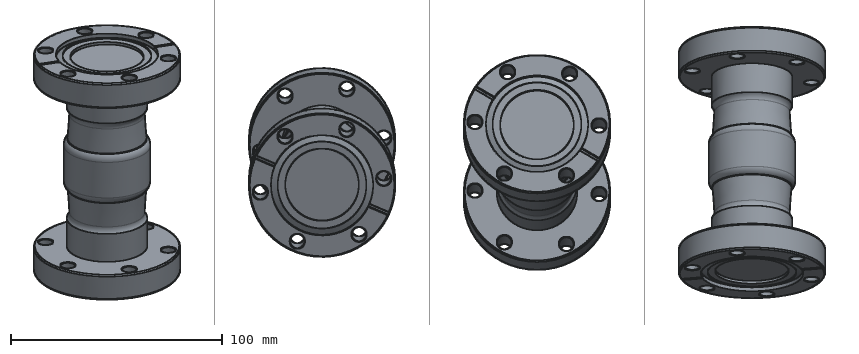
import cadquery as cq
import math

length = 111.8
flange_diameter = 69.3
flange_thickness = 13.0
flange_chamfer_width = 0.6
flange_chamfer_height = 0.8

weld_tube_diameter = 38.1
weld_tube_end = 27.4
neck_diameter = 35.8
neck_start = 30.6
flare_diameter = 37.5
flare_end = 43.0
flare_bulge = 0.07
shoulder_diameter = 37.8
shoulder_start = 43.4
sleeve_diameter = 41.0
sleeve_start = 46.7

recess_diameter = 48.3
recess_depth = 2.0
knife_diameter = 41.9
knife_depth = 0.7
seat_depth = 1.3
bore_diameter = 34.8
bore_depth = 2.7

bolt_count = 6
bolt_circle_diameter = 58.7
bolt_hole_diameter = 6.7
bolt_hole_chamfer = 0.3
groove_width = 1.7
groove_floor_width = 1.1
groove_depth = 0.7


def end_body():
    """Solid of revolution from the top flange face down to the straight middle sleeve."""
    flange_radius = flange_diameter / 2
    tube_radius = weld_tube_diameter / 2
    neck_radius = neck_diameter / 2
    flare_radius = flare_diameter / 2
    shoulder_start_radius = shoulder_diameter / 2
    sleeve_radius = sleeve_diameter / 2
    top = length / 2
    flange_back = top - flange_thickness
    neck_z = top - neck_start
    flare_z = top - flare_end
    shoulder_z = top - shoulder_start
    sleeve_z = top - sleeve_start
    shoulder_height = shoulder_z - sleeve_z
    shoulder_step = sleeve_radius - shoulder_start_radius
    shoulder_radius = (shoulder_height**2 + shoulder_step**2) / (2 * shoulder_step)
    half_sweep = math.asin(shoulder_height / shoulder_radius) / 2
    shoulder_middle = (
        sleeve_radius - shoulder_radius * (1 - math.cos(half_sweep)),
        sleeve_z + shoulder_radius * math.sin(half_sweep),
    )
    flare_middle = ((neck_radius + flare_radius) / 2 - flare_bulge, (neck_z + flare_z) / 2)

    profile = (
        cq.Workplane("XZ")
        .moveTo(0, sleeve_z)
        .lineTo(sleeve_radius, sleeve_z)
        .threePointArc(shoulder_middle, (shoulder_start_radius, shoulder_z))
        .lineTo(flare_radius, flare_z)
        .threePointArc(flare_middle, (neck_radius, neck_z))
        .tangentArcPoint((tube_radius, top - weld_tube_end), relative=False)
        .lineTo(tube_radius, flange_back)
        .lineTo(flange_radius - flange_chamfer_width, flange_back)
        .lineTo(flange_radius, flange_back + flange_chamfer_height)
        .lineTo(flange_radius, top - flange_chamfer_height)
        .lineTo(flange_radius - flange_chamfer_width, top)
        .lineTo(0, top)
        .close()
    )
    return profile.revolve(360, (0, 0, 0), (0, 1, 0))


def sealing_face_cut():
    """Gasket recess, conical knife edge, flat seat and shallow bore of the top flange."""
    top = length / 2
    profile = (
        cq.Workplane("XZ")
        .moveTo(0, top)
        .lineTo(recess_diameter / 2, top)
        .lineTo(recess_diameter / 2, top - recess_depth)
        .lineTo(knife_diameter / 2, top - knife_depth)
        .lineTo(knife_diameter / 2, top - seat_depth)
        .lineTo(bore_diameter / 2, top - seat_depth)
        .lineTo(bore_diameter / 2, top - bore_depth)
        .lineTo(0, top - bore_depth)
        .close()
    )
    return profile.revolve(360, (0, 0, 0), (0, 1, 0))


def bolt_hole_cut(angle):
    """One bolt hole through the top flange, chamfered at both faces."""
    top = length / 2
    flange_back = top - flange_thickness
    hole_radius = bolt_hole_diameter / 2
    mouth_radius = hole_radius + bolt_hole_chamfer
    profile = (
        cq.Workplane("XZ")
        .moveTo(0, flange_back)
        .lineTo(mouth_radius, flange_back)
        .lineTo(hole_radius, flange_back + bolt_hole_chamfer)
        .lineTo(hole_radius, top - bolt_hole_chamfer)
        .lineTo(mouth_radius, top)
        .lineTo(0, top)
        .close()
    )
    hole = profile.revolve(360, (0, 0, 0), (0, 1, 0))
    center_radius = bolt_circle_diameter / 2
    x = center_radius * math.cos(math.radians(angle))
    y = center_radius * math.sin(math.radians(angle))
    return hole.translate((x, y, 0))


def groove_cut():
    """Tapered leak-check groove across the full diameter of the top face along Y."""
    top = length / 2
    return (
        cq.Workplane("XZ")
        .moveTo(-groove_width / 2, top)
        .lineTo(groove_width / 2, top)
        .lineTo(groove_floor_width / 2, top - groove_depth)
        .lineTo(-groove_floor_width / 2, top - groove_depth)
        .close()
        .extrude(flange_diameter / 2, both=True)
    )


def top_end():
    """Top end with all flange details; the groove stops at the rim of the gasket recess."""
    recess_guard = (
        cq.Workplane("XY")
        .workplane(offset=length / 2 - recess_depth)
        .circle(recess_diameter / 2)
        .extrude(recess_depth)
    )
    end = end_body().cut(sealing_face_cut()).cut(groove_cut().cut(recess_guard))
    for index in range(bolt_count):
        end = end.cut(bolt_hole_cut(index * 360 / bolt_count))
    return end


def middle_sleeve():
    """Straight cylinder joining the two ends."""
    sleeve_length = length - 2 * sleeve_start
    return cq.Workplane("XY").cylinder(sleeve_length, sleeve_diameter / 2)


upper_end = top_end()
lower_end = upper_end.mirror("XY")
result = middle_sleeve().union(upper_end).union(lower_end)